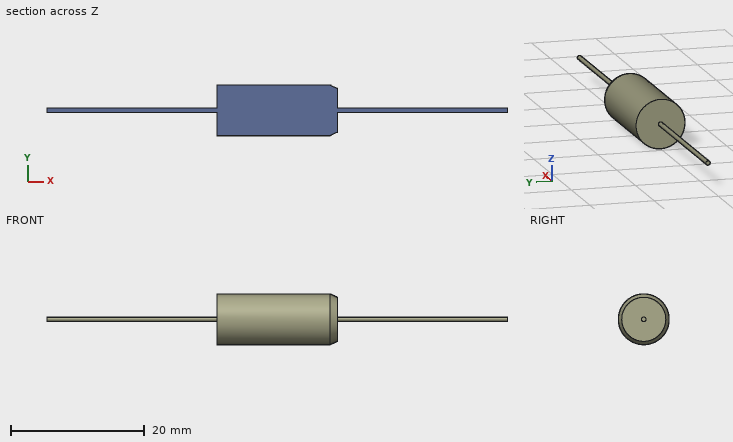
import cadquery as cq

body_length = 18.03
body_diameter = 7.62
body_radius = body_diameter / 2
lead_length = 25.4
lead_diameter = 0.69
lead_radius = lead_diameter / 2

taper_length = 1.12
taper_depth = 0.52

body_end = body_length / 2
lead_end = body_end + lead_length
taper_start = body_end - taper_length
taper_radius = body_radius - taper_depth


def revolved_component():
    """Revolve the half outline of the body and both leads around the X axis."""
    half_outline = (
        cq.Workplane("XZ")
        .moveTo(-lead_end, 0)
        .lineTo(-lead_end, lead_radius)
        .lineTo(-body_end, lead_radius)
        .lineTo(-body_end, body_radius)
        .lineTo(taper_start, body_radius)
        .lineTo(body_end, taper_radius)
        .lineTo(body_end, lead_radius)
        .lineTo(lead_end, lead_radius)
        .lineTo(lead_end, 0)
        .close()
    )
    return half_outline.revolve(360, (0, 0, 0), (1, 0, 0))


result = revolved_component()